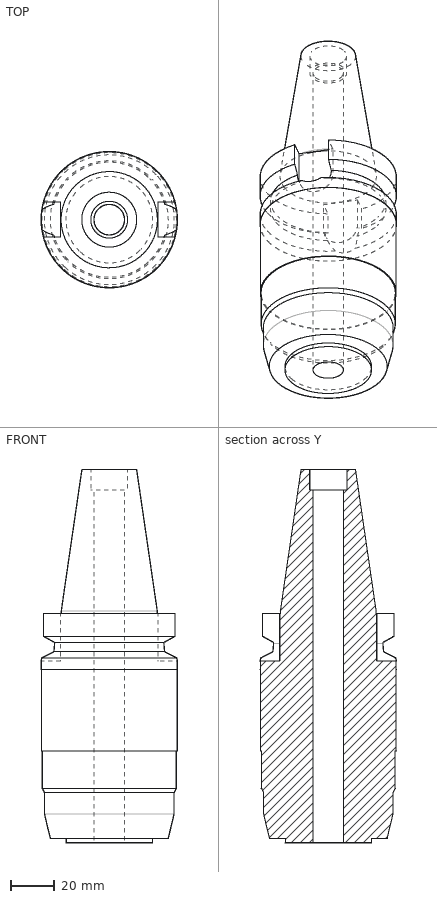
import cadquery as cq
import math


gauge_diameter = 44.45
taper_length = 65.4
taper_ratio = 7 / 24
taper_tip_diameter = gauge_diameter - taper_ratio * taper_length

flange_diameter = 63.0
flange_top = -1.0
flange_bottom = -27.0
groove_center = -16.6
groove_floor_diameter = 53.2
groove_floor_width = 4.3
groove_flank_angle = 30.0
groove_depth = (flange_diameter - groove_floor_diameter) / 2
groove_floor_half = groove_floor_width / 2
groove_mouth_half = groove_floor_half + groove_depth * math.tan(math.radians(groove_flank_angle))

slot_width = 16.1
slot_floor_offset = 22.5
slot_end = -23.0
slot_count = 2

body_diameter = 62.8
body_bottom = -64.6
sleeve_diameter = 62.0
sleeve_bottom = -81.8
nut_diameter = 60.0
nut_top = -83.8
nut_taper_top = -93.6
nut_tip_diameter = 54.5
nut_bottom = -105.0
nose_diameter = 40.0
nose_bottom = -107.0

bore_diameter = 14.0
pilot_diameter = 17.0
pilot_depth = 9.4


def make_turned_body():
    """Revolve the outer profile around the Z axis."""
    stations = [
        (taper_tip_diameter, taper_length),
        (gauge_diameter, 0),
        (gauge_diameter, flange_top),
        (flange_diameter, flange_top),
        (flange_diameter, groove_center + groove_mouth_half),
        (groove_floor_diameter, groove_center + groove_floor_half),
        (groove_floor_diameter, groove_center - groove_floor_half),
        (flange_diameter, groove_center - groove_mouth_half),
        (flange_diameter, flange_bottom),
        (body_diameter, flange_bottom),
        (body_diameter, body_bottom),
        (sleeve_diameter, body_bottom),
        (sleeve_diameter, sleeve_bottom),
        (nut_diameter, nut_top),
        (nut_diameter, nut_taper_top),
        (nut_tip_diameter, nut_bottom),
        (nose_diameter, nut_bottom),
        (nose_diameter, nose_bottom),
    ]
    outline = [(diameter / 2, height) for diameter, height in stations]
    profile = [(0, taper_length)] + outline + [(0, nose_bottom)]
    return cq.Workplane("XZ").polyline(profile).close().revolve(360, (0, 0, 0), (0, 1, 0))


def make_driving_slot():
    """Round-ended slot cutter on the +X side, open toward the top of the flange."""
    half_width = slot_width / 2
    arc_center = slot_end + half_width
    return (
        cq.Workplane("YZ")
        .workplane(offset=slot_floor_offset)
        .moveTo(-half_width, flange_top)
        .lineTo(-half_width, arc_center)
        .threePointArc((0, slot_end), (half_width, arc_center))
        .lineTo(half_width, flange_top)
        .close()
        .extrude(flange_diameter / 2)
    )


def make_bore():
    """Through bore with a wider pilot at the small end of the taper."""
    through = (
        cq.Workplane("XY")
        .workplane(offset=nose_bottom)
        .circle(bore_diameter / 2)
        .extrude(taper_length - nose_bottom)
    )
    pilot = (
        cq.Workplane("XY")
        .workplane(offset=taper_length)
        .circle(pilot_diameter / 2)
        .extrude(-pilot_depth)
    )
    return through.union(pilot)


result = make_turned_body().cut(make_bore())
for index in range(slot_count):
    slot_angle = index * 360 / slot_count
    result = result.cut(make_driving_slot().rotate((0, 0, 0), (0, 0, 1), slot_angle))